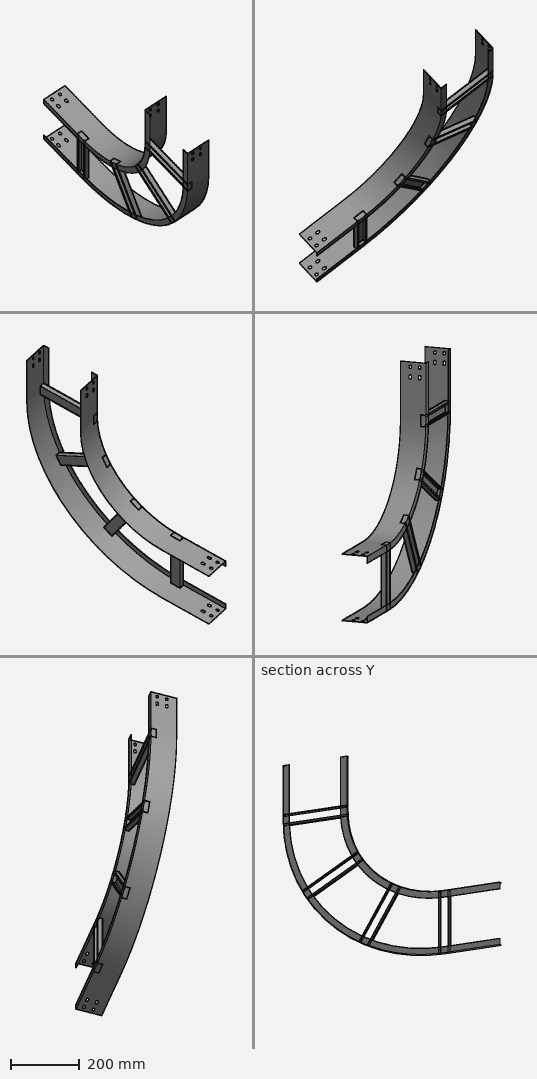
import cadquery as cq
import math

overall_size = 673.0
outer_radius = 500.0
tray_width = 200.0
inner_radius = outer_radius - tray_width
straight_length = overall_size - outer_radius
bend_angle = 90.0

rail_height = 80.0
sheet = 1.5
fold_radius = 2.0
outer_flange = 20.0
inner_flange = 22.0
inner_tip_radius = 1.4

rung_count = 4
rung_width = 36.0
rung_depth = 16.5
rung_lip = 6.5

column_lengths = {15.0: 10.0, 45.0: 13.0}
hole_rows = (20.0, 49.5)
hole_width = 7.0


def rail_section(web_radius, flange, tip_radius):
    """L section in the XY plane with its web face at web_radius; a negative flange points inward."""
    side = math.copysign(1.0, flange)
    web_inside = web_radius + side * sheet
    tip = web_radius + flange
    section = (
        cq.Workplane("XY")
        .moveTo(web_radius, rail_height)
        .lineTo(web_radius, fold_radius)
        .radiusArc((web_radius + side * fold_radius, 0), -side * fold_radius)
    )
    if tip_radius > 0:
        section = (
            section.lineTo(tip - side * tip_radius, 0)
            .radiusArc((tip, tip_radius), -side * tip_radius)
        )
    else:
        section = section.lineTo(tip, 0)
    return (
        section.lineTo(tip, sheet)
        .lineTo(web_inside, sheet)
        .lineTo(web_inside, rail_height)
        .close()
    )


def turned(shape, angle):
    """Turn a shape about the bend axis, from +X toward -Z."""
    return shape.rotate((0, 0, 0), (0, 1, 0), angle)


def joint_holes(web_radius):
    """Slots along X through the web of the upper straight."""
    slots = []
    for from_end, length in column_lengths.items():
        for row in hole_rows:
            slot = (
                cq.Workplane("YZ", origin=(web_radius, row, straight_length - from_end))
                .slot2D(length, hole_width, 90)
                .extrude(2 * sheet, both=True)
            )
            slots.append(slot)
    return slots


def rail(web_radius, flange, tip_radius=0.0):
    """One rail: two drilled straights joined by a quarter bend."""
    upper = rail_section(web_radius, flange, tip_radius).extrude(straight_length)
    for slot in joint_holes(web_radius):
        upper = upper.cut(slot)
    lower = turned(upper.mirror("XY"), bend_angle)
    bend = rail_section(web_radius, flange, tip_radius).revolve(bend_angle, (0, 0, 0), (0, 1, 0))
    return upper.union(bend).union(lower)


def rung():
    """Lipped channel along X at the start of the bend, seated half a sheet into both webs."""
    seat = sheet / 2
    front = sheet
    middle = front + rung_depth / 2
    length = tray_width - 2 * seat
    start = cq.Workplane("YZ", origin=(inner_radius + seat, 0, 0))
    body = start.center(middle, 0).rect(rung_depth, rung_width).extrude(length)
    cavity = (
        start.center(middle, 0)
        .rect(rung_depth - 2 * sheet, rung_width - 2 * sheet)
        .extrude(length)
    )
    opening = (
        start.center(front, 0)
        .rect(4 * sheet, rung_width - 2 * rung_lip)
        .extrude(length)
    )
    return body.cut(cavity).cut(opening)


def elbow():
    body = rail(inner_radius, inner_flange, inner_tip_radius).union(rail(outer_radius, -outer_flange))
    for index in range(rung_count):
        body = body.union(turned(rung(), index * bend_angle / (rung_count - 1)))
    return body


result = elbow()